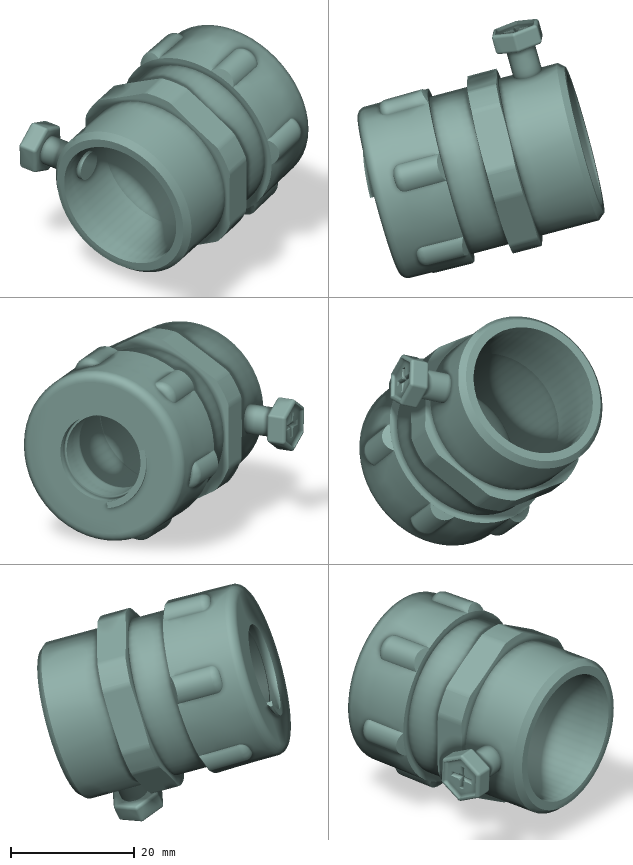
import cadquery as cq
import math


housing_diameter = 26.4
bore_diameter = 21.8
seal_bore_diameter = 22.1
seal_bore_front = 12.03
front_rim_diameter = 24.6
front_chamfer_length = 1.03

flange_across_flats = 28.05
flange_corner_diameter = 30.0
flange_front = 10.8
flange_back = 16.05
flange_face_rise = 0.22
flange_edge_fillet = 2.2

cap_front = 22.47
cap_back = 34.6
cap_front_radius = 14.55
cap_draft = 1.0
cap_fillet = 1.5
cap_wall = 1.47
cap_hole_diameter = 14.5

rib_count = 6
rib_first_angle = 10.0
rib_radius = 2.57
rib_circle_radius = 13.25
rib_back = 30.6
rib_end_fillet = 1.35
rib_chamfer_radial = 1.18
rib_chamfer_length = 0.65

lip_inner_radius = cap_hole_diameter / 2
lip_outer_radius = 8.28
lip_root_radius = 7.35
lip_rim = 0.35
lip_depth = 1.1
lip_start_angle = 162.0
lip_end_angle = 258.0
lip_pivot_z = 2.57
lip_slope = 5.2

seal_hole_diameter = 13.7
seal_front = 26.48

screw_y = 5.95
screw_diameter = 4.8
screw_tip_x = -10.05
screw_turn = 3.0
head_end_x = -21.2
head_length = 3.27
head_across_flats = 7.65
head_fillet = 0.5
recess_across_flats = 6.5
recess_depth = 0.5
recess_fillet = 0.48
recess_corner_fillet = 0.33
cross_length = 4.12
cross_width = 0.9
cross_floor_length = 3.9
cross_floor_width = 0.2
cross_depth = 0.6
cross_centre_width = 1.6
cross_centre_floor_width = 0.3

hexagon_turn = 30.0
housing_radius = housing_diameter / 2
seal_radius = seal_bore_diameter / 2
cap_inside = cap_back - cap_wall
draft_slope = math.tan(math.radians(cap_draft))


def cap_radius(y):
    """Outer radius of the drafted cap wall."""
    return cap_front_radius - (y - cap_front) * draft_slope


def turned(profile):
    """Solid of revolution about Y from a closed (radius, y) profile."""
    return cq.Workplane("XY").polyline(profile).close().revolve(360, (0, 0, 0), (0, 1, 0))


def rod_along_y(radius, y_from, y_to):
    return cq.Workplane("XZ", origin=(0, y_from, 0)).circle(radius).extrude(y_from - y_to)


def rod_along_x(radius, x_from, x_to):
    return cq.Workplane("YZ", origin=(x_from, screw_y, 0)).circle(radius).extrude(x_to - x_from)


def hexagon_diameter(across_flats):
    """Distance across the corners."""
    return across_flats / math.cos(math.radians(hexagon_turn))


def make_flange():
    """Hexagon with turned-down corners and slightly conical end faces."""
    corner_radius = flange_corner_diameter / 2
    hexagon = (
        cq.Workplane("XZ", origin=(0, flange_front, 0))
        .transformed(rotate=(0, 0, hexagon_turn))
        .polygon(6, hexagon_diameter(flange_across_flats))
        .extrude(flange_front - flange_back)
    )
    prism = hexagon.intersect(rod_along_y(corner_radius, flange_front, flange_back))
    prism = prism.edges("|Y").fillet(flange_edge_fillet)
    envelope = turned([
        (0, flange_front),
        (housing_radius, flange_front),
        (corner_radius, flange_front + flange_face_rise),
        (corner_radius, flange_back - flange_face_rise),
        (housing_radius, flange_back),
        (0, flange_back),
    ])
    return prism.intersect(envelope)


def make_housing():
    tube = turned([
        (0, 0),
        (front_rim_diameter / 2, 0),
        (housing_radius, front_chamfer_length),
        (housing_radius, cap_inside),
        (0, cap_inside),
    ])
    bore = rod_along_y(bore_diameter / 2, 0, seal_bore_front)
    bore = bore.union(rod_along_y(seal_radius, seal_bore_front, cap_inside))
    screw_hole = rod_along_x(screw_diameter / 2, -housing_radius, screw_tip_x)
    return tube.union(make_flange()).cut(bore).cut(screw_hole)


def make_lip():
    """Sector of a flared rim, tilted so that it rises out of the back of the cap."""
    top = cap_back
    profile = [
        (lip_inner_radius, top),
        (lip_outer_radius, top),
        (lip_outer_radius, top - lip_rim),
        (lip_root_radius, top - lip_depth),
        (lip_inner_radius, top - lip_depth),
    ]
    sector = (
        cq.Workplane("XY")
        .polyline(profile)
        .close()
        .revolve(lip_end_angle - lip_start_angle, (0, 0, 0), (0, -1, 0))
        .rotate((0, 0, 0), (0, 1, 0), -lip_start_angle)
    )
    pivot = (0, cap_back, lip_pivot_z)
    pivot_end = (1, cap_back, lip_pivot_z)
    return sector.rotate(pivot, pivot_end, lip_slope)


def make_cap():
    shell = turned([
        (0, cap_front),
        (cap_front_radius, cap_front),
        (cap_radius(cap_back), cap_back),
        (0, cap_back),
    ])
    shell = shell.faces(">Y").edges().fillet(cap_fillet)
    behind_wall = rod_along_y(cap_front_radius, cap_inside, cap_back + lip_depth)
    lip = make_lip().intersect(behind_wall)
    socket = rod_along_y(housing_radius, cap_front, cap_inside)
    hole = rod_along_y(cap_hole_diameter / 2, cap_inside, cap_back)
    return shell.cut(socket).cut(hole).union(lip)


def make_rib(angle):
    """Drafted round bar resting on the cap wall, rounded behind and bevelled in front."""
    pivot = (rib_circle_radius, cap_front, 0)
    pivot_end = (rib_circle_radius, cap_front, 1)
    bar = (
        rod_along_y(rib_radius, cap_front - rib_radius, rib_back)
        .faces(">Y")
        .edges()
        .fillet(rib_end_fillet)
        .translate((rib_circle_radius, 0, 0))
        .rotate(pivot, pivot_end, cap_draft)
    )
    tip_radius = rib_circle_radius + rib_radius
    far_radius = tip_radius + rib_chamfer_radial
    clear_of_rib = rib_back + rib_radius
    bevel_slope = rib_chamfer_length / rib_chamfer_radial
    sleeve = turned([
        (cap_front_radius, cap_front),
        (far_radius, cap_front + (far_radius - cap_front_radius) * bevel_slope),
        (far_radius, clear_of_rib),
        (cap_radius(clear_of_rib), clear_of_rib),
    ])
    return bar.intersect(sleeve).rotate((0, 0, 0), (0, 1, 0), -angle)


def make_seal():
    """Ring with a half-round front, filling the bore behind it."""
    hole_radius = seal_hole_diameter / 2
    round_radius = (seal_radius - hole_radius) / 2
    return (
        cq.Workplane("XY")
        .moveTo(seal_radius, seal_front + round_radius)
        .threePointArc(
            (hole_radius + round_radius, seal_front),
            (hole_radius, seal_front + round_radius),
        )
        .lineTo(hole_radius, cap_inside)
        .lineTo(seal_radius, cap_inside)
        .close()
        .revolve(360, (0, 0, 0), (0, 1, 0))
    )


def tapered_pocket(turn, mouth, floor):
    """Pocket narrowing from its mouth in the recess floor, turned about the screw axis."""
    return (
        cq.Workplane("YZ", origin=(head_end_x + recess_depth, screw_y, 0))
        .transformed(rotate=(0, 0, turn))
        .rect(*mouth)
        .workplane(offset=cross_depth)
        .rect(*floor)
        .loft()
    )


def cut_cross(screw):
    """Two crossed tapered grooves with a square pocket that bevels their inner corners."""
    arm_mouth = (cross_length, cross_width)
    arm_floor = (cross_floor_length, cross_floor_width)
    for turn in (screw_turn, screw_turn + 90):
        screw = screw.cut(tapered_pocket(turn, arm_mouth, arm_floor))
    centre_mouth = (cross_centre_width, cross_centre_width)
    centre_floor = (cross_centre_floor_width, cross_centre_floor_width)
    return screw.cut(tapered_pocket(screw_turn + 45, centre_mouth, centre_floor))


def make_screw():
    head_plane = cq.Workplane("YZ", origin=(head_end_x, screw_y, 0))
    head_plane = head_plane.transformed(rotate=(0, 0, hexagon_turn + screw_turn))
    head = head_plane.polygon(6, hexagon_diameter(head_across_flats)).extrude(head_length)
    head = head.edges().fillet(head_fillet)
    recess = head_plane.polygon(6, hexagon_diameter(recess_across_flats)).extrude(recess_depth)
    recess = recess.edges("|X").fillet(recess_corner_fillet)
    recess = recess.faces(">X").edges().fillet(recess_fillet)
    shank = rod_along_x(screw_diameter / 2, head_end_x + head_length, screw_tip_x)
    return cut_cross(head.cut(recess).union(shank))


housing = make_housing()
cap = make_cap()
ribs = [make_rib(rib_first_angle + i * 360 / rib_count) for i in range(rib_count)]
seal = make_seal()
screw = make_screw()

result = cq.Compound.makeCompound([
    housing.val(),
    cap.val(),
    *[rib.val() for rib in ribs],
    seal.val(),
    screw.val(),
])